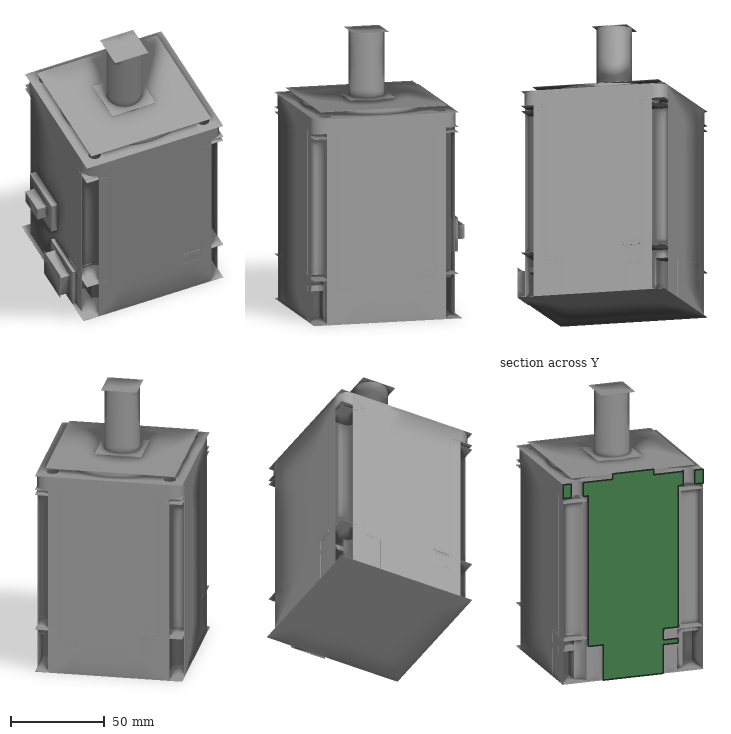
import cadquery as cq
import math

BODY_SIDE = 80.0
OVERALL_DEPTH = 89.0
SEAM_Z = 24.3
FLANGE_SEAT_Z = 101.5
FLANGE_BOTTOM_Z = 104.5
FLANGE_TOP_Z = 112.3
FLANGE_CORNER_RADIUS = 7.0

CHANNEL_DEPTH = 14.3
CHANNEL_FILLET = 5.0

POCKET_DEPTH = 9.1
POCKET_FILLET = 4.5
LEFT_POCKET_LENGTH = 23.7
LEFT_POCKET_TOP_Z = 19.8
RIGHT_POCKET_LENGTH = 22.8
RIGHT_POCKET_TOP_Z = 16.1
CLIP_WINDOW_BOTTOM_Z = 19.0
CLIP_WINDOW_TOP_Z = 26.3

HOLE_DIAMETER = 6.7
BOLT_CIRCLE_DIAMETER = 90.0

PILOT_DIAMETER = 69.9
PILOT_TOP_Z = 115.4
COLLAR_DIAMETER = 25.0
COLLAR_TOP_Z = 116.5
SHAFT_DIAMETER = 19.0
SHAFT_TOP_Z = 152.0

SHEET_THICKNESS = 0.2
SHEET_MARGIN = 0.23
SKIN_INSET = 0.08

TAB_WIDTH = 9.3
TAB_HEIGHT = 1.2
TAB_PROUD = 0.23
TAB_OFFSET = 21.6

UPPER_CENTER_X = -12.2
UPPER_CENTER_Z = 42.9
UPPER_BASE_SIZE = (28.0, 18.5)
UPPER_BASE_PROUD = 3.5
UPPER_BASE_EMBEDDED = 4.1
UPPER_PLUG_SIZE = (15.5, 7.5)
UPPER_PLUG_PROUD = OVERALL_DEPTH - BODY_SIDE - TAB_PROUD

LOWER_BASE_CENTER_X = 11.7
LOWER_BASE_SIZE = (27.7, 23.7)
LOWER_BASE_PROUD = 2.0
LOWER_PLUG_CENTER_X = 11.5
LOWER_PLUG_CENTER_Z = 12.0
LOWER_PLUG_SIZE = (19.2, 14.5)
LOWER_PLUG_PROUD = 7.6
LOWER_PLUG_TILT = 6.5

HALF_SIDE = BODY_SIDE / 2


def corner_channels():
    """Four square-cornered channels with a rounded inner edge, as tall as the body."""
    return (
        cq.Workplane("XY")
        .rect(BODY_SIDE, BODY_SIDE, forConstruction=True)
        .vertices()
        .rect(2 * CHANNEL_DEPTH, 2 * CHANNEL_DEPTH)
        .extrude(FLANGE_BOTTOM_Z)
        .edges("|Z")
        .fillet(CHANNEL_FILLET)
    )


def level_sheet(top_z, side, extra_front=0.0):
    """A thin sheet with its upper face at top_z, optionally longer toward -Y."""
    return (
        cq.Workplane("XY")
        .workplane(offset=top_z - SHEET_THICKNESS)
        .center(0, -extra_front / 2)
        .rect(side, side + extra_front)
        .extrude(SHEET_THICKNESS)
    )


def disc(diameter, bottom_z, top_z):
    return cq.Workplane("XY").workplane(offset=bottom_z).circle(diameter / 2).extrude(top_z - bottom_z)


def front_block(center_x, center_z, size, proud, embedded=0.0, tilt=0.0):
    """A block on the -Y side reaching inward by embedded, turned clockwise by tilt degrees from outside."""
    return (
        cq.Workplane("XZ", origin=(center_x, embedded - HALF_SIDE, center_z))
        .transformed(rotate=(0, 0, -tilt))
        .rect(*size)
        .extrude(proud + embedded)
    )


def on_all_sides(front_shape):
    """The shape made for the -Y side, repeated on all four sides."""
    shapes = front_shape
    for quarter_turn in range(1, 4):
        shapes = shapes.union(front_shape.rotate((0, 0, 0), (0, 0, 1), 90 * quarter_turn))
    return shapes


def front_pocket(direction, length, bottom_z, top_z):
    """A pocket in the -Y side running inward from the corner at X = direction * HALF_SIDE."""
    height = top_z - bottom_z
    center_x = direction * (HALF_SIDE - length / 2)
    return front_block(center_x, bottom_z + height / 2, (length, height), 0, POCKET_DEPTH)


def foot_pockets():
    left = front_pocket(-1, LEFT_POCKET_LENGTH, 0, LEFT_POCKET_TOP_Z)
    left = left.edges("|Z and >X and >Y").fillet(POCKET_FILLET)
    right = front_pocket(1, RIGHT_POCKET_LENGTH, 0, RIGHT_POCKET_TOP_Z)
    clip_window = front_pocket(1, RIGHT_POCKET_LENGTH, CLIP_WINDOW_BOTTOM_Z, CLIP_WINDOW_TOP_Z)
    return on_all_sides(left.union(right).union(clip_window))


def side_skins():
    """Upright sheets as wide as the flat part of the flange sides."""
    width = BODY_SIDE - 2 * FLANGE_CORNER_RADIUS
    skin = front_block(0, FLANGE_TOP_Z / 2, (width, FLANGE_TOP_Z), SHEET_THICKNESS)
    return on_all_sides(skin.translate((0, SHEET_THICKNESS + SKIN_INSET, 0)))


def flange():
    plate = (
        cq.Workplane("XY")
        .workplane(offset=FLANGE_BOTTOM_Z)
        .rect(BODY_SIDE, BODY_SIDE)
        .extrude(FLANGE_TOP_Z - FLANGE_BOTTOM_Z)
        .edges("|Z")
        .fillet(FLANGE_CORNER_RADIUS)
    )
    plate = plate.union(level_sheet(FLANGE_TOP_Z, BODY_SIDE))
    return plate.union(level_sheet(FLANGE_BOTTOM_Z, BODY_SIDE))


def mounting_holes():
    return (
        cq.Workplane("XY")
        .workplane(offset=FLANGE_SEAT_Z)
        .polarArray(BOLT_CIRCLE_DIAMETER / 2, 45, 360, 4)
        .circle(HOLE_DIAMETER / 2)
        .extrude(FLANGE_TOP_Z - FLANGE_SEAT_Z)
    )


def latch_tabs():
    center_z = CLIP_WINDOW_TOP_Z - TAB_HEIGHT / 2
    return on_all_sides(
        front_block(TAB_OFFSET, center_z, (TAB_WIDTH, TAB_HEIGHT), TAB_PROUD, POCKET_DEPTH)
    )


def upper_connector():
    center = (UPPER_CENTER_X, UPPER_CENTER_Z)
    base = front_block(*center, UPPER_BASE_SIZE, UPPER_BASE_PROUD, UPPER_BASE_EMBEDDED)
    return base.union(front_block(*center, UPPER_PLUG_SIZE, UPPER_PLUG_PROUD))


def lower_connector():
    base = front_block(LOWER_BASE_CENTER_X, LOWER_BASE_SIZE[1] / 2, LOWER_BASE_SIZE, LOWER_BASE_PROUD)
    plug_center = (LOWER_PLUG_CENTER_X, LOWER_PLUG_CENTER_Z)
    plug = front_block(*plug_center, LOWER_PLUG_SIZE, LOWER_PLUG_PROUD, tilt=LOWER_PLUG_TILT)

    tilt = math.radians(LOWER_PLUG_TILT)
    width, height = LOWER_PLUG_SIZE
    sheet_size = (
        width * math.cos(tilt) + height * math.sin(tilt),
        width * math.sin(tilt) + height * math.cos(tilt),
    )
    sheet = front_block(*plug_center, sheet_size, SHEET_THICKNESS)
    sheet = sheet.translate((0, SHEET_THICKNESS - LOWER_PLUG_PROUD, 0))
    return base.union(plug).union(sheet)


result = cq.Workplane("XY").rect(BODY_SIDE, BODY_SIDE).extrude(FLANGE_BOTTOM_Z)
result = result.cut(corner_channels()).cut(foot_pockets()).union(side_skins())
result = result.union(level_sheet(SHEET_THICKNESS, BODY_SIDE, LOWER_BASE_PROUD))
for sheet_z in (SEAM_Z, FLANGE_SEAT_Z):
    result = result.union(level_sheet(sheet_z, BODY_SIDE))

result = result.union(flange()).cut(mounting_holes())

step_bottom_z = FLANGE_TOP_Z
for step_diameter, step_top_z in (
    (PILOT_DIAMETER, PILOT_TOP_Z),
    (COLLAR_DIAMETER, COLLAR_TOP_Z),
    (SHAFT_DIAMETER, SHAFT_TOP_Z),
):
    result = result.union(disc(step_diameter, step_bottom_z, step_top_z))
    result = result.union(level_sheet(step_top_z, step_diameter + 2 * SHEET_MARGIN))
    step_bottom_z = step_top_z

result = result.union(latch_tabs()).union(upper_connector()).union(lower_connector())